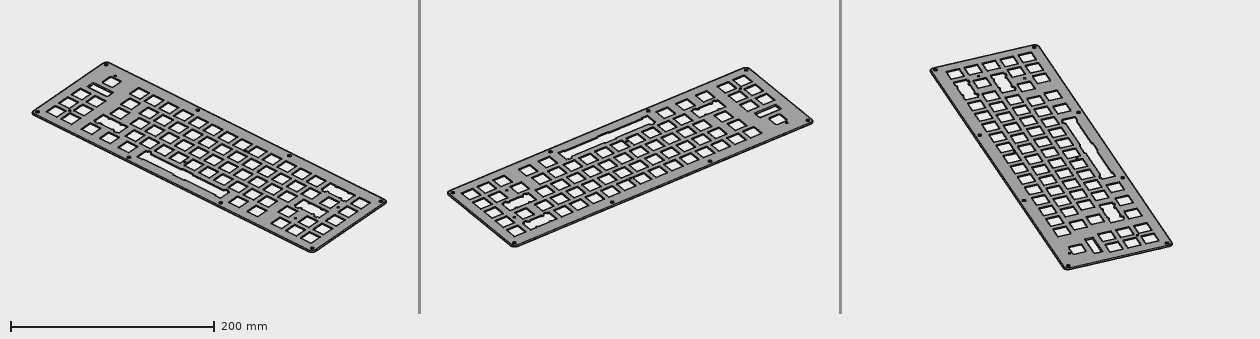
import cadquery as cq

plate_length = 365.3
plate_width = 115.5
plate_thickness = 1.5
corner_radius = 5.0
edge_chamfer = 1.0

grid_length = 328.7
grid_columns = 17.25
key_pitch = grid_length / grid_columns
grid_shift_y = -1.5
middle_row = 2
key_gap = 5.0
key_size = key_pitch - key_gap

key_rows = [
    [0, 1, 2.375, 3.625, 4.875, 12.375, 13.625, 15.25, 16.25, 17.25],
    [0, 1] + [4.5 + key for key in range(10)] + [14.875, 16.25, 17.25],
    [0, 1, 2.625] + [4 + key for key in range(11)] + [17.25],
    [2.5] + [3.75 + key for key in range(12)] + [16, 17.25],
    [2.25 + key for key in range(13)] + [17.25],
]

wide_keys = [(2.875, 1), (15.625, 2), (15.75, 4)]
space_bar = (8.625, 0)
wide_key_reach = 12.0
space_bar_reach = 50.0
stabilizer_inner = 3.0
stabilizer_outer = 4.0
channel_height = 11.7
notch_width = 3.3
notch_depth = 1.5

half_column = 0.5
knob_y = 33.5
knob_corner_radius = 2.0
window_y = 16.5
window_length = 24.0
window_width = 7.3

screw_diameter = 3.5
screw_row_length = 355.5
screw_row_distance = 104.5
screws_per_row = 4

pin_diameter = 2.2


def column_x(column):
    return (column - grid_columns / 2) * key_pitch


def row_y(row):
    return (row - middle_row) * key_pitch + grid_shift_y


pin_places = [
    (column_x(0.5), row_y(0.5)),
    (column_x(8), -22.5),
    (column_x(15.5625), -24.0),
    (column_x(16.625), 16.8),
    (column_x(9.75), 30.5),
    (-158.5, 43.5),
]


def block_at(x, y, length, width):
    """Rectangular block as thick as the plate, centred on (x, y)."""
    block = cq.Workplane("XY").box(length, width, plate_thickness, centered=(True, True, False))
    return block.translate((x, y, 0))


def cut_wide_key(body, place, reach, notch_side):
    """Key opening with a stabilizer slot at each end; notch_side is +1 for up, -1 for down."""
    x = column_x(place[0])
    y = row_y(place[1])
    body = body.cut(block_at(x, y, key_size, key_size))
    body = body.cut(block_at(x, y, 2 * reach, channel_height))
    slot_length = stabilizer_inner + stabilizer_outer
    slot_shift = (stabilizer_outer - stabilizer_inner) / 2
    for end in (-1, 1):
        body = body.cut(block_at(x + end * (reach + slot_shift), y, slot_length, key_size))
        notch_y = y + notch_side * key_size / 2
        body = body.cut(block_at(x + end * reach, notch_y, notch_width, 2 * notch_depth))
    return body


plate = block_at(0, 0, plate_length, plate_width)
plate = plate.edges("|Z").fillet(corner_radius)
plate = plate.faces(">Z").edges().chamfer(edge_chamfer)

key_places = [
    (column_x(column), row_y(row))
    for row, columns in enumerate(key_rows)
    for column in columns
]
key_cutters = (
    cq.Workplane("XY").pushPoints(key_places).rect(key_size, key_size).extrude(plate_thickness)
)
plate = plate.cut(key_cutters)

for wide_key in wide_keys:
    plate = cut_wide_key(plate, wide_key, wide_key_reach, -1)
plate = cut_wide_key(plate, space_bar, space_bar_reach, 1)

knob = block_at(column_x(half_column), knob_y, key_size, key_size)
plate = plate.cut(knob.edges("|Z").fillet(knob_corner_radius))

window_x = column_x(half_column)
plate = plate.cut(block_at(window_x, window_y, window_length, window_width))
window_flare = (
    cq.Workplane("XY", origin=(window_x, window_y, plate_thickness - edge_chamfer))
    .rect(window_length, window_width)
    .workplane(offset=edge_chamfer)
    .rect(window_length + 2 * edge_chamfer, window_width + 2 * edge_chamfer)
    .loft(ruled=True)
)
plate = plate.cut(window_flare)

screw_spacing = screw_row_length / (screws_per_row - 1)
plate = plate.faces(">Z").workplane(origin=(0, 0, 0)).rarray(
    screw_spacing, screw_row_distance, screws_per_row, 2
).hole(screw_diameter)
plate = plate.faces(">Z").workplane(origin=(0, 0, 0)).pushPoints(pin_places).hole(pin_diameter)

result = plate